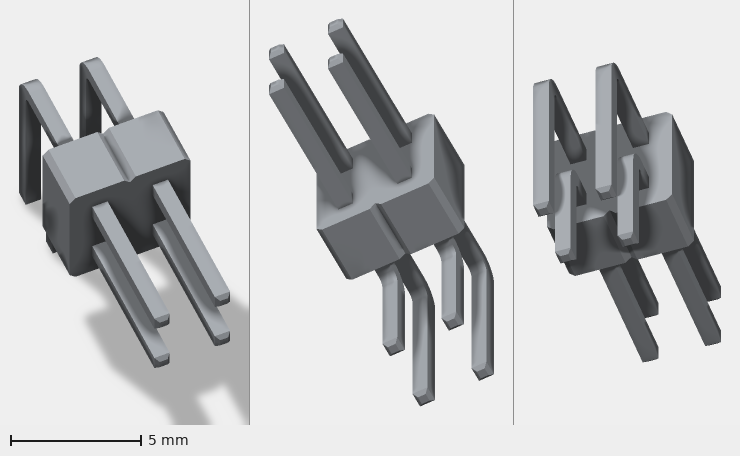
import cadquery as cq


overall_length = 12.9
overall_height = 8.72
pitch = 2.54
pins_per_side = 2
housing_start = 4.36
housing_bevel = 0.25
pin_width = 0.65
inner_bend_radius = 0.31
tip_chamfer = 0.15

housing_length = pitch
housing_size = pins_per_side * pitch
first_center = (pitch - housing_size) / 2
pin_bottom = housing_size / 2 - overall_height
outer_bend_radius = inner_bend_radius + pin_width


def make_housing_cell(y_center):
    """One column of the housing, bevelled along its four long edges."""
    return (
        cq.Workplane("XY")
        .box(housing_length, pitch, housing_size)
        .edges("|X")
        .chamfer(housing_bevel)
        .translate((housing_start + housing_length / 2, y_center, 0))
    )


def make_pin(x_outer, y_center, z_center):
    """A square pin running along X, then bent down to the common bottom level."""
    top = z_center + pin_width / 2
    leg_length = top - pin_bottom
    arm_length = overall_length - x_outer
    arm = cq.Workplane("XY").box(arm_length, pin_width, pin_width, centered=(False, True, False))
    arm = arm.translate((x_outer, y_center, top - pin_width))
    leg = cq.Workplane("XY").box(pin_width, pin_width, leg_length, centered=(False, True, False))
    leg = leg.translate((x_outer, y_center, pin_bottom))
    pin = arm.union(leg)

    inner_corner = (x_outer + pin_width, y_center, top - pin_width)
    outer_corner = (x_outer, y_center, top)
    pin = pin.edges("|Y").edges(cq.NearestToPointSelector(outer_corner)).fillet(outer_bend_radius)
    pin = pin.edges("|Y").edges(cq.NearestToPointSelector(inner_corner)).fillet(inner_bend_radius)

    pin = pin.faces(">X").chamfer(tip_chamfer)
    return pin.faces("<Z").chamfer(tip_chamfer)


column_centers = [first_center + column * pitch for column in range(pins_per_side)]

result = make_housing_cell(column_centers[0])
for y_center in column_centers[1:]:
    result = result.union(make_housing_cell(y_center))

for y_center in column_centers:
    for row in range(pins_per_side):
        x_outer = row * pitch
        z_center = -first_center - row * pitch
        result = result.union(make_pin(x_outer, y_center, z_center))